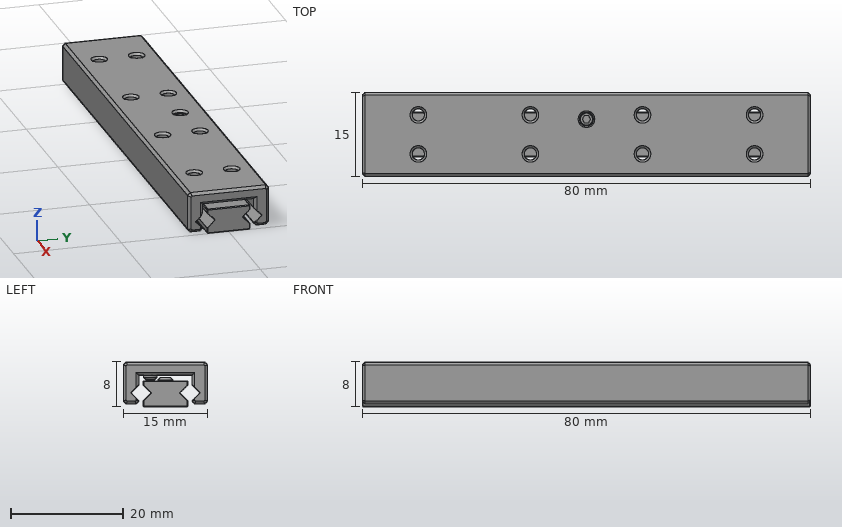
import cadquery as cq
import math

length = 80.0
width = 15.0
height = 8.0

housing_bottom = 0.5
channel_half_width = 4.7
channel_ceiling = 5.6
housing_chamfer = 0.5

rail_half_width = 4.0
rail_top = 4.6
rail_chamfer = 0.2

track_height = 2.5
track_depth = 1.4

hole_diameter = 2.2
hole_chamfer = 0.4
mount_pitch_x = 20.0
mount_count_x = 4
mount_pitch_y = 7.0

screw_offset_y = 2.7
screw_diameter = 2.5
screw_top = 7.5
screw_tip = 4.8
screw_tip_chamfer = 0.5
socket_flats = 1.3
socket_depth = 0.4

stud_diameter = 2.7
stud_base_height = 0.2
stud_cone_height = 0.5


def extrude_along_length(points):
    """Extrude a closed (y, z) outline over the full length, centred on X = 0."""
    return cq.Workplane("YZ").polyline(points).close().extrude(length / 2, both=True)


def cylinder(diameter, bottom, top):
    """Vertical cylinder on the Z axis between two heights."""
    return cq.Workplane("XY").workplane(offset=bottom).circle(diameter / 2).extrude(top - bottom)


def v_track(wall_y, direction):
    """V groove running along a wall and cut into it toward +Y (direction 1) or -Y (-1)."""
    return extrude_along_length([
        (wall_y, track_height + track_depth),
        (wall_y + direction * track_depth, track_height),
        (wall_y, track_height - track_depth),
    ])


def roof_hole(x, y):
    """Cutter for a hole through the housing roof with a 45 degree countersink at the top."""
    radius = hole_diameter / 2
    bore = cylinder(hole_diameter, channel_ceiling, height)
    countersink = cq.Workplane("XY").add(cq.Solid.makeCone(
        radius, radius + hole_chamfer, hole_chamfer, cq.Vector(0, 0, height - hole_chamfer)))
    return bore.union(countersink).translate((x, y, 0))


def make_housing():
    half_width = width / 2
    housing = extrude_along_length([
        (-half_width, housing_bottom),
        (-half_width, height),
        (half_width, height),
        (half_width, housing_bottom),
        (channel_half_width, housing_bottom),
        (channel_half_width, channel_ceiling),
        (-channel_half_width, channel_ceiling),
        (-channel_half_width, housing_bottom),
    ])

    housing = housing.edges("|X and (>Y or <Y or <Z)").chamfer(housing_chamfer)
    housing = housing.faces("<X or >X").edges().chamfer(housing_chamfer)

    for side in (-1, 1):
        housing = housing.cut(v_track(side * channel_half_width, side))
        for index in range(mount_count_x):
            x = (index - (mount_count_x - 1) / 2) * mount_pitch_x
            housing = housing.cut(roof_hole(x, side * mount_pitch_y / 2))

    housing = housing.cut(roof_hole(0, screw_offset_y))
    seat = cylinder(screw_diameter, channel_ceiling, screw_top)
    return housing.cut(seat.translate((0, screw_offset_y, 0)))


def make_rail():
    rail = extrude_along_length([
        (-rail_half_width, 0),
        (-rail_half_width, rail_top),
        (rail_half_width, rail_top),
        (rail_half_width, 0),
    ])
    rail = rail.edges("|X").chamfer(rail_chamfer)
    rail = rail.faces("<X or >X").edges().chamfer(rail_chamfer)
    for side in (-1, 1):
        rail = rail.cut(v_track(side * rail_half_width, -side))
    return rail


def make_locking_screw():
    screw = cylinder(screw_diameter, screw_tip, screw_top)
    screw = screw.faces("<Z").edges().chamfer(screw_tip_chamfer)
    socket_corners = socket_flats / math.cos(math.pi / 6)
    socket = (
        cq.Workplane("XY")
        .workplane(offset=screw_top - socket_depth)
        .polygon(6, socket_corners)
        .extrude(socket_depth)
    )
    return screw.cut(socket).translate((0, screw_offset_y, 0))


def make_stud():
    stud = cylinder(stud_diameter, rail_top, rail_top + stud_base_height + stud_cone_height)
    return stud.faces(">Z").edges().chamfer(stud_cone_height)


housing = make_housing()
rail = make_rail()
locking_screw = make_locking_screw()
stud = make_stud()
result = cq.Compound.makeCompound([housing.val(), rail.val(), locking_screw.val(), stud.val()])